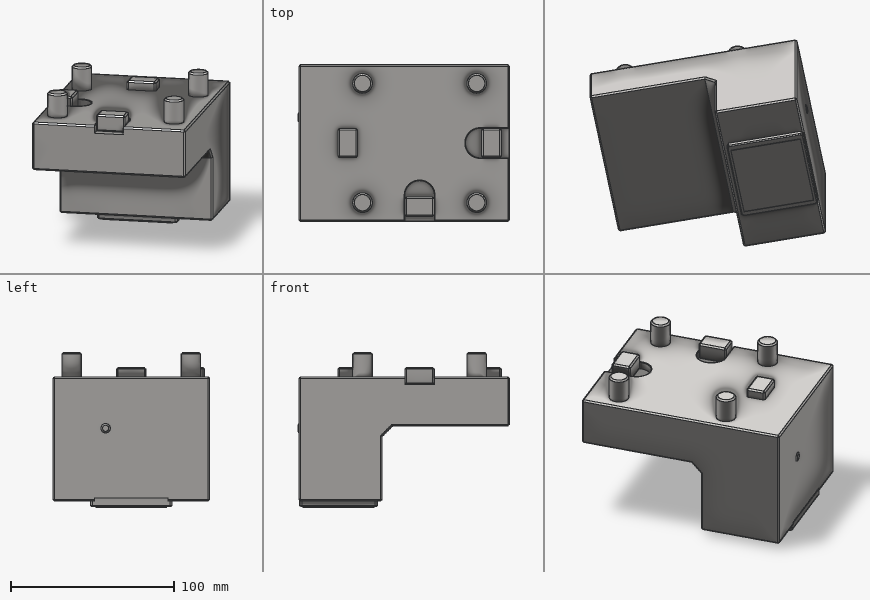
import cadquery as cq


body_length = 129.0
body_width = 96.0
body_height = 76.0
arm_thickness = 30.0
leg_length = 51.0
gusset = 6.5
edge_chamfer = 1.0

pin_diameter = 12.0
pin_height = 14.9
pin_center_x = 74.0
pin_spacing_x = 70.0
pin_spacing_y = 73.0

block_length = 18.0
block_width = 12.0
block_rise = 5.7
block_offset_x = 44.0
block_offset_y = 39.0

slot_width = 18.1
slot_depth = 4.8
slot_rim_chamfer = 0.4
slot_end_setback = 6.9
slot_run_out = 25.9

button_y = 15.7
button_depth = 31.5
button_base_diameter = 5.7
button_tip_diameter = 3.8
button_height = 0.5

pad_length = 47.5
pad_width = 50.0
pad_thickness = 3.4
pad_corner_chamfer = 1.3
pad_bottom_chamfer = 0.6
pad_inset = 0.5
neck_width = 45.2
neck_height = 2.0
foot_size = 43.4
foot_thickness = 0.6


def make_body():
    """Upright leg and horizontal arm, joined by a sloped inner corner, with chamfered outer edges."""
    profile = [
        (0, 0),
        (body_length, 0),
        (body_length, -arm_thickness),
        (leg_length + gusset, -arm_thickness),
        (leg_length, -arm_thickness - gusset),
        (leg_length, -body_height),
        (0, -body_height),
    ]
    blank = cq.Workplane("XZ").polyline(profile).close().extrude(body_width / 2, both=True)
    return blank.faces("<X or >X or <Y or >Y or <Z or >Z").edges().chamfer(edge_chamfer)


def slot_outline(plane, radius):
    """U-shaped outline with its round end toward -X, about the block centre."""
    return (
        plane.moveTo(slot_run_out, radius)
        .lineTo(-slot_end_setback, radius)
        .threePointArc((-slot_end_setback - radius, 0), (-slot_end_setback, -radius))
        .lineTo(slot_run_out, -radius)
        .close()
    )


def make_slot_cutter():
    """Slot cutter with a chamfered rim."""
    radius = slot_width / 2
    channel = slot_outline(cq.Workplane("XY"), radius).extrude(-slot_depth)
    rim = slot_outline(cq.Workplane("XY"), radius + slot_rim_chamfer).extrude(-slot_rim_chamfer, taper=45)
    return channel.union(rim)


def make_block():
    """Block about the Z axis, chamfered on every edge and reaching down to the slot floor."""
    block_height = slot_depth + block_rise
    return (
        cq.Workplane("XY")
        .box(block_width, block_length, block_height, centered=(True, True, False))
        .edges()
        .chamfer(edge_chamfer)
        .translate((0, 0, -slot_depth))
    )


def make_pins():
    """Four chamfered pins on the top face."""
    return (
        cq.Workplane("XY")
        .center(pin_center_x, 0)
        .rarray(pin_spacing_x, pin_spacing_y, 2, 2)
        .circle(pin_diameter / 2)
        .extrude(pin_height)
        .faces(">Z")
        .edges()
        .chamfer(edge_chamfer)
    )


def make_button():
    """Low cone on the left face."""
    return (
        cq.Workplane("YZ", origin=(0, button_y, -button_depth))
        .circle(button_base_diameter / 2)
        .workplane(offset=-button_height)
        .circle(button_tip_diameter / 2)
        .loft()
    )


def make_neck(x_start, x_end):
    """Neck stretch from half way down the pad to its top inside the body."""
    bottom = -body_height - pad_thickness / 2
    top = -body_height + neck_height
    neck = cq.Workplane("XY").box(x_end - x_start, neck_width, top - bottom, centered=(False, True, False))
    return neck.translate((x_start, 0, bottom))


def make_pad():
    """Chamfered pad below the leg, with its neck above and a thin square foot below."""
    pad = (
        cq.Workplane("XY")
        .box(pad_length, pad_width, pad_thickness, centered=(True, True, False))
        .edges("|Z")
        .chamfer(pad_corner_chamfer)
        .faces("<Z")
        .edges()
        .chamfer(pad_bottom_chamfer)
        .faces("<Z")
        .workplane(centerOption="CenterOfBoundBox")
        .rect(foot_size, foot_size)
        .extrude(foot_thickness)
        .translate((pad_inset + pad_length / 2, 0, -body_height - pad_thickness))
    )
    return pad.union(make_neck(pad_inset, pad_inset + pad_length))


block = make_block()
slot_cutter = make_slot_cutter()
right_spot = (pin_center_x + block_offset_x, 0, 0)
left_spot = (pin_center_x - block_offset_x, 0, 0)
front_spot = (pin_center_x, -block_offset_y, 0)
vertical_axis = ((0, 0, 0), (0, 0, 1))

result = make_body()
for spot, turn in ((right_spot, 0), (front_spot, -90)):
    result = result.cut(slot_cutter.rotate(*vertical_axis, turn).translate(spot))
    result = result.union(block.rotate(*vertical_axis, turn).translate(spot))
result = result.union(block.translate(left_spot))
result = result.cut(make_neck(0, pad_inset))
result = result.union(make_pins()).union(make_button()).union(make_pad())